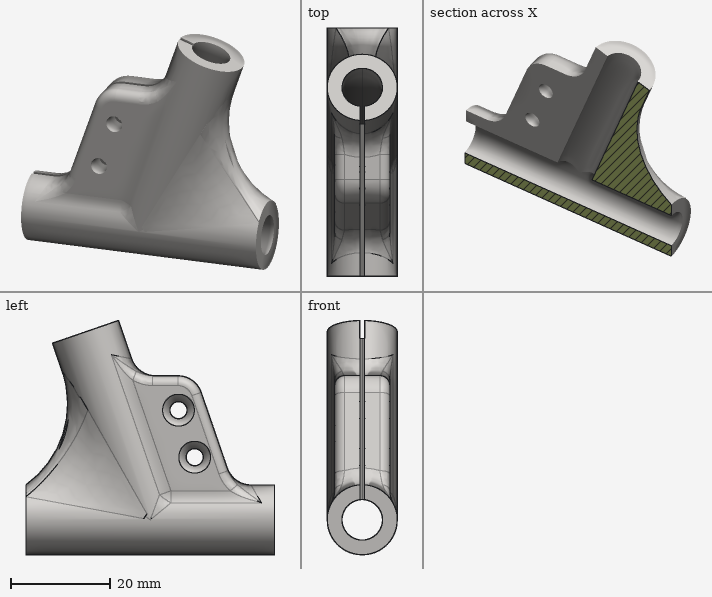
import cadquery as cq
import math

BORE_DIAMETER = 8.1
WALL = 3.0
TUBE_RADIUS = BORE_DIAMETER / 2 + WALL
LEVEL_HALF_LENGTH = 25.0
LEANING_LENGTH = 40.0
LEAN = math.radians(19)

PLATE_HALF_THICKNESS = TUBE_RADIUS - WALL / 2
PLATE_WIDTH = 11.0
PLATE_TOP = 29.0
PLATE_OUTER = TUBE_RADIUS + PLATE_WIDTH
PLATE_CORNER_RADIUS = 5.0
RIM_ROUND = 2.0

PLATE_BLEND = 5.0
GUSSET_BLEND = 20.0

SLIT_WIDTH = 1.0
SCREW_DIAMETER = 3.4
COUNTERSINK_DIAMETER = 6.4
COUNTERSINK_ANGLE = 90
SCREW_OFFSET = TUBE_RADIUS + PLATE_WIDTH / 2
SCREW_HEIGHTS = (9.0, 19.0)

BLEND_SECTIONS = 9
GUSSET_END_SECTIONS = 13
FIRST_BLEND_ANGLE = math.radians(2)
GUSSET_END_DEPTH = 5.5
GUSSET_CORE_DEPTH = 5.2

MARGIN = 10.0
FAR = LEANING_LENGTH + MARGIN
WIDE_OVERSHOOT = 1.0
RIM_BLEND_OVERSHOOT = 0.3
TOLERANCE = 0.01

X_AXIS = cq.Vector(1, 0, 0)
ORIGIN = cq.Vector(0, 0, 0)
LEANING_AXIS = cq.Vector(0, math.sin(LEAN), math.cos(LEAN))

LEVEL_FRAME = (cq.Vector(0, -1, 0), cq.Vector(0, 0, 1))
LEANING_FRAME = (LEANING_AXIS, cq.Vector(0, -math.cos(LEAN), math.sin(LEAN)))

OBTUSE_FRAMES = (LEVEL_FRAME, LEANING_FRAME)
OBTUSE_HALF_ANGLE = (math.pi / 2 + LEAN) / 2
ACUTE_FRAMES = ((LEVEL_FRAME[0] * -1, LEVEL_FRAME[1]), (LEANING_AXIS, LEANING_FRAME[1] * -1))
ACUTE_HALF_ANGLE = (math.pi / 2 - LEAN) / 2


def place(frame, x, along, out):
    """Point at x, a distance along the tube and a distance out from its axis."""
    return X_AXIS * x + frame[0] * along + frame[1] * out


def along_at_offset(out, other_out):
    """Distance along one tube to the point lying out from it and other_out from the other tube."""
    return (other_out - out * math.sin(LEAN)) / math.cos(LEAN)


def cylinder(start, direction, radius, length):
    return cq.Solid.makeCylinder(radius, length, start, direction)


def prism(outline, half_width):
    """Outline of (y, z) points, extruded equally to both sides of the middle plane."""
    return cq.Workplane("YZ").polyline(outline).close().extrude(half_width, both=True).val()


def yz(point):
    return (point.y, point.z)


def both_sides(solid):
    return [solid, solid.mirror("YZ")]


def touch_on_tube(center, foot, tube_radius=TUBE_RADIUS):
    """Point of a tube nearest to a ball center, where foot is the nearest point of its axis."""
    return foot + (center - foot).normalized() * tube_radius


def blend_section(center, touch_a, touch_b, depth):
    """Triangle from a ball center through its contacts to a depth beyond them, less the ball."""
    radius = (touch_a - center).Length
    root_a = touch_a + (touch_a - center) * (depth / radius)
    root_b = touch_b + (touch_b - center) * (depth / radius)
    toward_middle = (touch_a + touch_b) * 0.5 - center
    arc_middle = center + toward_middle.normalized() * radius
    return cq.Wire.assembleEdges([
        cq.Edge.makeLine(root_a, touch_a),
        cq.Edge.makeThreePointArc(touch_a, arc_middle, touch_b),
        cq.Edge.makeLine(touch_b, root_b),
        cq.Edge.makeLine(root_b, root_a),
    ])


def steps(first, last, count=BLEND_SECTIONS):
    return [first + (last - first) * i / (count - 1) for i in range(count)]


def tube_to_tube_blend(frames, blend_radius, half_angle, last_angle):
    """Blend from the tubes' side toward the middle plane; half_angle halves the corner angle."""
    reach = TUBE_RADIUS + blend_radius
    sections = []
    for angle in steps(FIRST_BLEND_ANGLE, last_angle):
        out = reach * math.sin(angle)
        along = out / math.tan(half_angle)
        center = place(frames[0], reach * math.cos(angle), along, out)
        touches = [touch_on_tube(center, frame[0] * along) for frame in frames]
        sections.append(blend_section(center, *touches, TUBE_RADIUS))
    return both_sides(cq.Solid.makeLoft(sections))


GUSSET_REACH = TUBE_RADIUS + GUSSET_BLEND
RIM_TOP = cq.Vector(0, LEVEL_HALF_LENGTH, TUBE_RADIUS)


def middle_ball():
    """Gusset ball on the middle plane: its rise along the leaning tube, and its center."""
    gap = GUSSET_REACH - RIM_TOP.dot(ACUTE_FRAMES[1][1])
    rise = RIM_TOP.dot(LEANING_AXIS) + math.sqrt(GUSSET_BLEND**2 - gap**2)
    return rise, place(ACUTE_FRAMES[1], 0, rise, GUSSET_REACH)


def gusset_end_section(swing, side):
    """Section where the ball touches the leaning tube and has swung around the level tube's end rim."""
    center_y = LEVEL_HALF_LENGTH + GUSSET_BLEND * math.sin(swing)
    center_radius = TUBE_RADIUS + GUSSET_BLEND * math.cos(swing)
    root = math.sqrt(center_y**2 + center_radius**2 - GUSSET_REACH**2)
    center_z = (root - center_y * math.sin(LEAN)) / math.cos(LEAN)
    center_x = math.copysign(math.sqrt(max(center_radius**2 - center_z**2, 0)), side)
    center = cq.Vector(center_x, center_y, center_z)
    scale = TUBE_RADIUS / center_radius
    rim_touch = cq.Vector(center_x * scale, LEVEL_HALF_LENGTH, center_z * scale)
    tube_touch = touch_on_tube(center, LEANING_AXIS * center.dot(LEANING_AXIS))
    return blend_section(center, rim_touch, tube_touch, GUSSET_END_DEPTH)


def gusset_end_blend():
    """Part of the gusset that runs onto the end rim of the level tube."""
    middle_center = middle_ball()[1]
    last_swing = math.asin((middle_center.y - LEVEL_HALF_LENGTH) / GUSSET_BLEND)
    turns = steps(0, math.pi, GUSSET_END_SECTIONS)
    sections = [gusset_end_section(last_swing * math.sin(turn), math.cos(turn)) for turn in turns]
    return cq.Solid.makeLoft(sections)


def gusset_core(end_angle):
    """Fill behind the end blend, between the tube axes."""
    rise, middle_center = middle_ball()
    inner_radius = TUBE_RADIUS - GUSSET_CORE_DEPTH
    level_tip = cq.Vector(0, LEVEL_HALF_LENGTH, 0)
    rim_root = RIM_TOP + (RIM_TOP - middle_center).normalized() * GUSSET_CORE_DEPTH
    leaning_tip = LEANING_AXIS * rise
    leaning_root = touch_on_tube(middle_center, leaning_tip, inner_radius)
    outline = [yz(point) for point in (ORIGIN, level_tip, rim_root, leaning_root, leaning_tip)]
    return prism(outline, math.cos(end_angle) * inner_radius)


def gusset():
    """Large blend in the acute corner, cut short by the level tube's end."""
    end_angle = math.asin(LEVEL_HALF_LENGTH * math.tan(ACUTE_HALF_ANGLE) / GUSSET_REACH)
    walls = tube_to_tube_blend(ACUTE_FRAMES, GUSSET_BLEND, ACUTE_HALF_ANGLE, end_angle)
    return walls + [gusset_end_blend(), gusset_core(end_angle)]


REACH = TUBE_RADIUS + PLATE_BLEND
BALL_X = PLATE_HALF_THICKNESS + PLATE_BLEND
BALL_OUT = math.sqrt(REACH**2 - BALL_X**2)
BALL_ALONG = along_at_offset(BALL_OUT, BALL_OUT)


def triangle_face(*corners):
    return cq.Face.makeFromWires(cq.Wire.makePolygon(list(corners), close=True))


def side_blend(frame):
    """Straight blend along a tube, between it and the plate's side face."""
    corners = [
        place(frame, 0, BALL_ALONG, 0),
        place(frame, BALL_X, BALL_ALONG, BALL_OUT),
        place(frame, 0, BALL_ALONG, BALL_OUT),
    ]
    length = LEANING_LENGTH
    wedge = cq.Solid.extrudeLinear(triangle_face(*corners), frame[0] * length)
    return wedge.cut(cylinder(corners[1], frame[0], PLATE_BLEND, length))


def corner_blend():
    """Spherical patch where the plate's side face meets both tubes."""
    ball = place(LEVEL_FRAME, BALL_X, BALL_ALONG, BALL_OUT)
    below_ball = cq.Vector(0, ball.y, ball.z)
    level_foot = LEVEL_FRAME[0] * BALL_ALONG
    leaning_foot = LEANING_FRAME[0] * BALL_ALONG
    faces = [
        triangle_face(level_foot, leaning_foot, below_ball),
        triangle_face(level_foot, leaning_foot, ball),
        triangle_face(level_foot, below_ball, ball),
        triangle_face(leaning_foot, below_ball, ball),
    ]
    pyramid = cq.Solid.makeSolid(cq.Shell.makeShell(faces))
    return pyramid.cut(cq.Workplane("XY").sphere(PLATE_BLEND).translate(ball).val())


def rim_blend(frame, rim_offset, rim_normal):
    """Blend between a tube and the plate's rim wall that runs into it."""
    last_angle = math.acos((BALL_X + RIM_BLEND_OVERSHOOT) / REACH)
    sections = []
    for angle in steps(last_angle, math.pi - last_angle):
        out = REACH * math.sin(angle)
        x = REACH * math.cos(angle)
        along = along_at_offset(out, rim_offset + PLATE_BLEND)
        center = place(frame, x, along, out)
        tube_touch = touch_on_tube(center, frame[0] * along)
        wall_touch = center - rim_normal * PLATE_BLEND
        sections.append(blend_section(center, tube_touch, wall_touch, TUBE_RADIUS))
    return cq.Solid.makeLoft(sections)


def wide_plate():
    """Plate with its rim blends, wider than the finished plate."""
    level_end = place(LEVEL_FRAME, 0, along_at_offset(0, PLATE_OUTER), 0)
    leaning_end = place(LEANING_FRAME, 0, along_at_offset(0, PLATE_TOP), 0)
    outer_corner = place(LEVEL_FRAME, 0, along_at_offset(PLATE_TOP, PLATE_OUTER), PLATE_TOP)
    outline = [yz(point) for point in (ORIGIN, level_end, outer_corner, leaning_end)]
    block = cq.Workplane(prism(outline, BALL_X + WIDE_OVERSHOOT))
    corner_edge = cq.selectors.NearestToPointSelector(outer_corner.toTuple())
    block = block.edges("|X").edges(corner_edge).fillet(PLATE_CORNER_RADIUS).val()
    return [
        block,
        rim_blend(LEVEL_FRAME, PLATE_OUTER, LEANING_FRAME[1]),
        rim_blend(LEANING_FRAME, PLATE_TOP, LEVEL_FRAME[1]),
    ]


def corner_region(half_width):
    """Everything between the tube axes on the plate's side, to a half width."""
    level_far = LEVEL_FRAME[0] * FAR
    leaning_far = LEANING_FRAME[0] * FAR
    outline = [yz(point) for point in (ORIGIN, level_far, level_far + leaning_far, leaning_far)]
    return prism(outline, half_width)


def blended_slab():
    """Slab of the plate's thickness, without a rim, blended into both tubes."""
    parts = [corner_region(PLATE_HALF_THICKNESS)] + both_sides(corner_blend())
    for frame in OBTUSE_FRAMES:
        parts += both_sides(side_blend(frame))
    return parts


def tubes():
    level_start = LEVEL_FRAME[0] * -LEVEL_HALF_LENGTH
    level = cylinder(level_start, LEVEL_FRAME[0], TUBE_RADIUS, 2 * LEVEL_HALF_LENGTH)
    return level.fuse(cylinder(ORIGIN, LEANING_AXIS, TUBE_RADIUS, LEANING_LENGTH))


def is_rim_edge(edge):
    """Whether an edge bounds the plate's side face along its rim, not along a tube."""
    center = edge.Center()
    box = edge.BoundingBox()
    on_side_face = abs(abs(center.x) - PLATE_HALF_THICKNESS) < TOLERANCE and box.xlen < TOLERANCE
    nearest_tube = min(center.dot(frame[1]) for frame in OBTUSE_FRAMES)
    return on_side_face and nearest_tube > BALL_OUT + TOLERANCE


def tubes_with_plate():
    bare = tubes()
    body = bare.fuse(*wide_plate()).intersect(bare.fuse(*blended_slab())).clean()
    return body.fillet(RIM_ROUND, [edge for edge in body.Edges() if is_rim_edge(edge)])


def crotch_blend():
    """Blend between the tubes from their sides up to the plate."""
    plate_angle = math.acos(BALL_X / REACH)
    return tube_to_tube_blend(OBTUSE_FRAMES, PLATE_BLEND, OBTUSE_HALF_ANGLE, plate_angle)


def bores():
    start = LEVEL_FRAME[0] * -(LEVEL_HALF_LENGTH + MARGIN)
    level = cylinder(start, LEVEL_FRAME[0], BORE_DIAMETER / 2, 2 * (LEVEL_HALF_LENGTH + MARGIN))
    return [level, cylinder(ORIGIN, LEANING_AXIS, BORE_DIAMETER / 2, LEANING_LENGTH + MARGIN)]


def screw_hole(height):
    """Through hole, countersunk on the -X face of the plate."""
    face_center = place(LEANING_FRAME, -PLATE_HALF_THICKNESS, height, SCREW_OFFSET)
    slope = math.tan(math.radians(COUNTERSINK_ANGLE / 2))
    depth = (COUNTERSINK_DIAMETER - SCREW_DIAMETER) / 2 / slope
    cone = cq.Solid.makeCone(COUNTERSINK_DIAMETER / 2, SCREW_DIAMETER / 2, depth, face_center, X_AXIS)
    return [cone, cylinder(face_center, X_AXIS, SCREW_DIAMETER / 2, 2 * PLATE_HALF_THICKNESS)]


body = tubes_with_plate().fuse(*gusset(), *crotch_blend()).clean()
openings = bores() + [corner_region(SLIT_WIDTH / 2)]
for height in SCREW_HEIGHTS:
    openings += screw_hole(height)
result = cq.Workplane(body.cut(*openings))